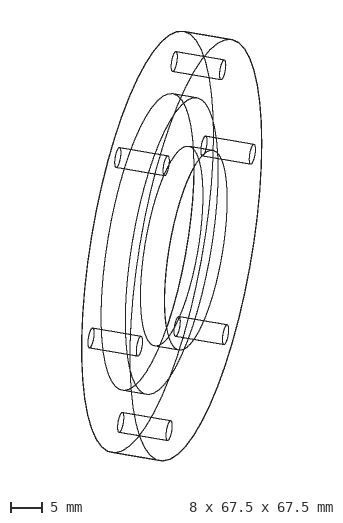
import cadquery as cq

flange_diameter = 67.5
thickness = 8.0
bore_diameter = 32.0
recess_diameter = 47.5
recess_depth = thickness / 2
bolt_hole_diameter = 3.2
bolt_circle_diameter = 57.8
bolt_count = 6
bolt_start_angle = 1.7


def disc(diameter, length):
    """Cylinder along +X with its first face on the X = 0 plane."""
    return cq.Workplane("YZ").circle(diameter / 2).extrude(length)


def bolt_holes():
    """Through holes evenly spaced on the bolt circle."""
    return (
        cq.Workplane("YZ")
        .polarArray(bolt_circle_diameter / 2, bolt_start_angle, 360, bolt_count)
        .circle(bolt_hole_diameter / 2)
        .extrude(thickness)
    )


ring = disc(flange_diameter, thickness).cut(disc(bore_diameter, thickness))
recessed_ring = ring.cut(disc(recess_diameter, recess_depth))

result = recessed_ring.cut(bolt_holes())